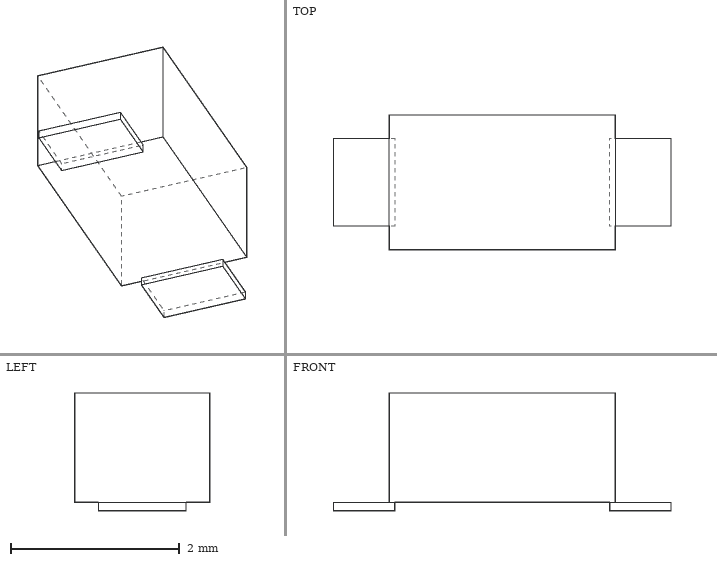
import cadquery as cq

overall_length = 4.0
overall_height = 1.4

body_length = 2.68
body_width = 1.6

lead_length = 0.73
lead_width = 1.04
lead_thickness = 0.1

body_height = overall_height - lead_thickness
lead_center_x = (overall_length - lead_length) / 2


def make_body():
    """Plain block resting on top of the leads."""
    block = cq.Workplane("XY").box(body_length, body_width, body_height, centered=(True, True, False))
    return block.translate((0, 0, lead_thickness))


def make_lead(side):
    """Flat lead reaching out from under one end; side is -1 or +1 along X."""
    plate = cq.Workplane("XY").box(lead_length, lead_width, lead_thickness, centered=(True, True, False))
    return plate.translate((side * lead_center_x, 0, 0))


body = make_body()
leads = [make_lead(side) for side in (-1, 1)]

result = cq.Compound.makeCompound([body.val(), *[lead.val() for lead in leads]])